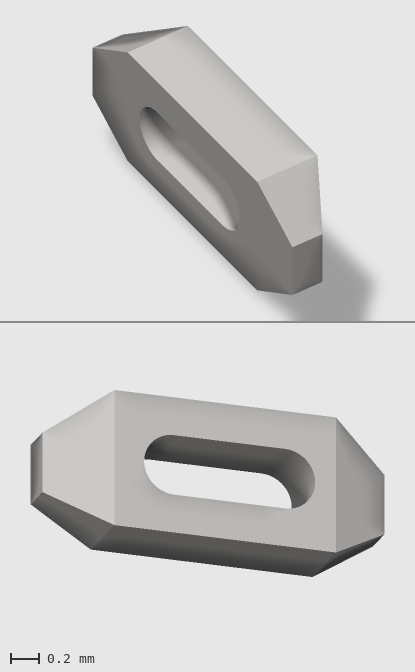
import cadquery as cq

length = 2.5
thickness = 0.5
height = 1.0

taper_length = 0.44
end_height = 0.44
end_thickness = 0.25

slot_length = 1.25
slot_height = 0.44
slot_offset = -0.032

half_length = length / 2
half_flat = half_length - taper_length
half_height = height / 2
half_end_height = end_height / 2
front_y = -thickness / 2
back_y = thickness / 2

face_outline = (
    cq.Workplane("XZ", origin=(0, back_y, 0))
    .polyline([
        (-half_length, -half_end_height),
        (-half_flat, -half_height),
        (half_flat, -half_height),
        (half_length, -half_end_height),
        (half_length, half_end_height),
        (half_flat, half_height),
        (-half_flat, half_height),
        (-half_length, half_end_height),
    ])
    .close()
    .extrude(thickness)
)

end_back_y = front_y + end_thickness
thickness_profile = (
    cq.Workplane("XY", origin=(0, 0, -half_height))
    .polyline([
        (-half_length, front_y),
        (half_length, front_y),
        (half_length, end_back_y),
        (half_flat, back_y),
        (-half_flat, back_y),
        (-half_length, end_back_y),
    ])
    .close()
    .extrude(height)
)

slot = (
    cq.Workplane("XZ", origin=(0, back_y, 0))
    .center(slot_offset, 0)
    .slot2D(slot_length, slot_height)
    .extrude(thickness)
)

result = face_outline.intersect(thickness_profile).cut(slot)